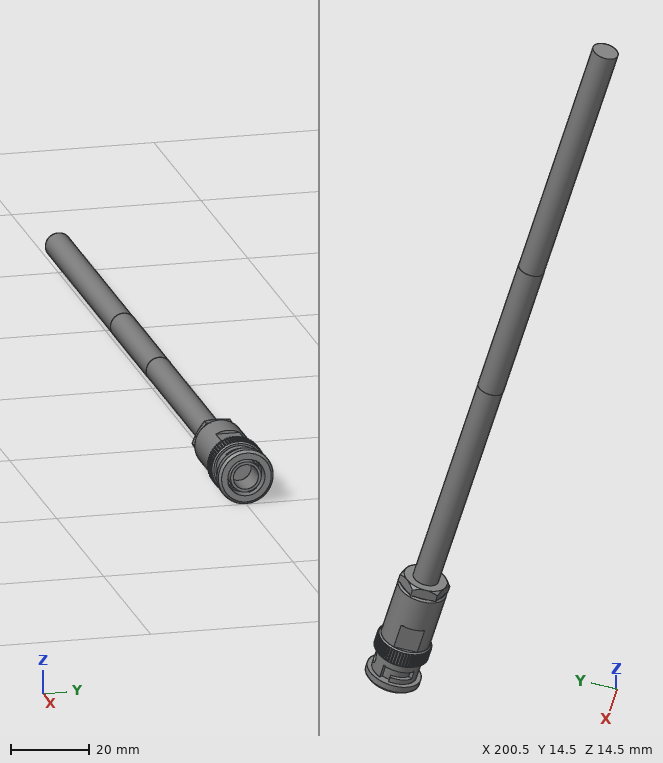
import cadquery as cq
import math

TOTAL_LENGTH = 200.5

CABLE_RADIUS = 3.4
SLEEVE_RADIUS = 3.45
SLEEVE_START = 69.5
SLEEVE_LENGTH = 38.1
SLEEVE_END = SLEEVE_START + SLEEVE_LENGTH

NUT_START = 168.5
NUT_LENGTH = 2.7
NUT_END = NUT_START + NUT_LENGTH
NUT_ACROSS_FLATS = 11.5
NUT_CORNER_RADIUS = NUT_ACROSS_FLATS / 2 / math.cos(math.radians(30))
NUT_CHAMFER = NUT_CORNER_RADIUS - NUT_ACROSS_FLATS / 2

HOUSING_START = NUT_END
HOUSING_RADIUS = 6.5
HOUSING_CHAMFER = 0.5
WRENCH_FLAT_START = 180.6
WRENCH_FLAT_HEIGHT = 5.7
CABLE_END = 182.0

COUPLING_START = 187.5
FLANGE_RADIUS = 14.49 / 2
FLANGE_START = 198.1
FLANGE_CHAMFER = 0.7
KNURL_END = 192.3
KNURL_CHAMFER = 0.7
KNURL_COUNT = 56
KNURL_DEPTH = 0.3
KNURL_GROOVE_WIDTH = 0.5
BARREL_RADIUS = 6.0
COUPLING_BORE = 4.9

NECK_RADIUS = COUPLING_BORE
PLUG_RADIUS = 4.05
PLUG_BORE = 3.3
PLUG_RECESS = 0.5
PLUG_END = TOTAL_LENGTH - PLUG_RECESS

STUD_HOLE_DIAMETER = 3.2
STUD_HOLE_X = 195.3
SLOT_START = 194.4
SLOT_END = 196.7
SLOT_FIRST_ANGLE = 45
SLOT_LAST_ANGLE = 130
ENTRY_FIRST_ANGLE = 105
CUT_OVERLAP = 0.2


def turned(outline):
    """Solid of revolution about the X axis from (x, radius) points."""
    return cq.Workplane("XZ").polyline(outline).close().revolve(360, (0, 0, 0), (1, 0, 0))


def cylinder(start, end, radius):
    return turned([(start, 0), (end, 0), (end, radius), (start, radius)])


def make_cable():
    return cylinder(0, CABLE_END, CABLE_RADIUS)


def make_sleeve():
    return turned([
        (SLEEVE_START, CABLE_RADIUS),
        (SLEEVE_END, CABLE_RADIUS),
        (SLEEVE_END, SLEEVE_RADIUS),
        (SLEEVE_START, SLEEVE_RADIUS),
    ])


def make_nut():
    hexagon = (
        cq.Workplane("YZ", origin=(NUT_START, 0, 0))
        .polygon(6, 2 * NUT_CORNER_RADIUS)
        .circle(CABLE_RADIUS)
        .extrude(NUT_LENGTH)
    )
    blank = turned([
        (NUT_START, 0),
        (NUT_END, 0),
        (NUT_END, NUT_CORNER_RADIUS),
        (NUT_START + NUT_CHAMFER, NUT_CORNER_RADIUS),
        (NUT_START, NUT_ACROSS_FLATS / 2),
    ])
    return hexagon.intersect(blank)


def make_housing():
    housing = turned([
        (HOUSING_START, 0),
        (HOUSING_START, HOUSING_RADIUS - HOUSING_CHAMFER),
        (HOUSING_START + HOUSING_CHAMFER, HOUSING_RADIUS),
        (COUPLING_START, HOUSING_RADIUS),
        (COUPLING_START, NECK_RADIUS),
        (KNURL_END, NECK_RADIUS),
        (KNURL_END, PLUG_RADIUS),
        (PLUG_END, PLUG_RADIUS),
        (PLUG_END, PLUG_BORE),
        (KNURL_END, PLUG_BORE),
        (KNURL_END, 0),
    ])
    flat_length = COUPLING_START - WRENCH_FLAT_START
    for side in (1, -1):
        cutter_centre = (
            WRENCH_FLAT_START + flat_length / 2,
            0,
            side * (WRENCH_FLAT_HEIGHT + HOUSING_RADIUS / 2),
        )
        cutter = cq.Workplane("XY", origin=cutter_centre).box(
            flat_length, 2 * HOUSING_RADIUS, HOUSING_RADIUS
        )
        housing = housing.cut(cutter)
    return housing.cut(cylinder(HOUSING_START, CABLE_END, CABLE_RADIUS))


def barrel_window(start, end, first_angle, last_angle):
    """Cutter through the barrel wall, spanning angles measured from +Y toward +Z."""
    ring = cq.Workplane("XY").polyline([
        (start, COUPLING_BORE - CUT_OVERLAP),
        (end, COUPLING_BORE - CUT_OVERLAP),
        (end, BARREL_RADIUS + CUT_OVERLAP),
        (start, BARREL_RADIUS + CUT_OVERLAP),
    ]).close()
    window = ring.revolve(last_angle - first_angle, (0, 0, 0), (1, 0, 0))
    return window.rotate((0, 0, 0), (1, 0, 0), first_angle)


def make_coupling():
    coupling = turned([
        (COUPLING_START, COUPLING_BORE),
        (COUPLING_START, FLANGE_RADIUS - KNURL_CHAMFER),
        (COUPLING_START + KNURL_CHAMFER, FLANGE_RADIUS),
        (KNURL_END - KNURL_CHAMFER, FLANGE_RADIUS),
        (KNURL_END, FLANGE_RADIUS - KNURL_CHAMFER),
        (KNURL_END, BARREL_RADIUS),
        (FLANGE_START, BARREL_RADIUS),
        (FLANGE_START, FLANGE_RADIUS),
        (TOTAL_LENGTH - FLANGE_CHAMFER, FLANGE_RADIUS),
        (TOTAL_LENGTH, FLANGE_RADIUS - FLANGE_CHAMFER),
        (TOTAL_LENGTH, COUPLING_BORE),
    ])
    grooves = (
        cq.Workplane("YZ", origin=(COUPLING_START, 0, 0))
        .polarArray(FLANGE_RADIUS, 0, 360, KNURL_COUNT)
        .rect(2 * KNURL_DEPTH, KNURL_GROOVE_WIDTH)
        .extrude(KNURL_END - COUPLING_START)
    )
    coupling = coupling.cut(grooves)
    slot = barrel_window(SLOT_START, SLOT_END, SLOT_FIRST_ANGLE, SLOT_LAST_ANGLE)
    entry = barrel_window(SLOT_START, FLANGE_START, ENTRY_FIRST_ANGLE, SLOT_LAST_ANGLE)
    for turn in (0, 180):
        coupling = coupling.cut(slot.rotate((0, 0, 0), (1, 0, 0), turn))
        coupling = coupling.cut(entry.rotate((0, 0, 0), (1, 0, 0), turn))
    stud_hole = (
        cq.Workplane("XZ", origin=(STUD_HOLE_X, 0, 0))
        .circle(STUD_HOLE_DIAMETER / 2)
        .extrude(FLANGE_RADIUS, both=True)
    )
    return coupling.cut(stud_hole)


cable = make_cable()
sleeve = make_sleeve()
nut = make_nut()
housing = make_housing()
coupling = make_coupling()

result = cq.Compound.makeCompound([
    cable.val(),
    sleeve.val(),
    nut.val(),
    housing.val(),
    coupling.val(),
])